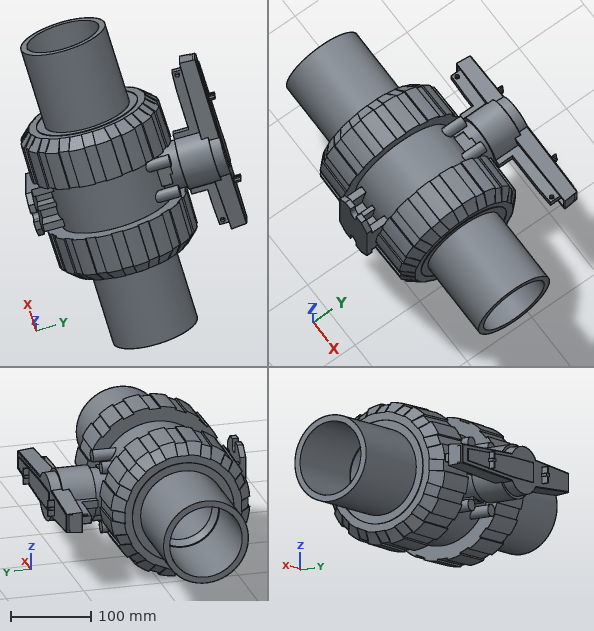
import cadquery as cq
import math


length = 405.5
pipe_radius = 55.0
pipe_bore_radius = 46.9
shoulder_radius = 45.7
neck_down_length = 10.0
bore_radius = 40.0
body_radius = 72.0

nut_inner_x = 34.8
nut_bevel_x = 83.7
nut_end_x = 97.3
nut_height = 181.41
groove_count = 16
groove_width = 14.4
groove_floor_radius = 88.5
nut_face_radius = 150.9 / 2
lobe_face_radius = 76.3
lobe_radius = math.hypot(nut_height / 2, groove_width / 2)
nut_draft = 0.8
union_face_radius = 131.5 / 2
union_recess = 1.0

plate_back_y = -100.0
plate_thickness = 7.7
plate_width = 57.8
plate_height = 99.0
plate_chamfer = 12.0
plate_slot_width = 11.8
plate_slot_depth = 15.4
leg_width = 9.7
leg_height = 57.4
centre_rib_width = 6.2
centre_rib_height = 43.8
web_thickness = 8.0

neck_radius = 60.5 / 2
post_diameter = 15.0
post_x = 21.0
post_z = 39.5
post_top_y = 85.5
pad_half_width = 12.7
pad_depth = 61.2
pad_low_y = 79.5
pad_high_y = 82.8

hub_radius = 34.5
hub_bottom_y = 95.2
hub_top_y = 137.5
cap_top_radius = 60.5 / 2
cap_base_radius = 31.2
cap_top_y = 151.2

arm_left_x = -97.2
arm_right_x = 132.0
arm_root_x = 25.0
arm_top_y = 151.2
arm_end_depth = 20.7
arm_root_depth = 22.5
arm_end_half_width = 13.6
arm_root_half_width = 19.0
arm_draft_angle = 4.0
arm_edge_chamfer = 1.0
channel_width = 21.0
end_wall = 2.5
arm_roof = 4.0

panel_left_x = -18.0
panel_right_x = 120.0
panel_top_y = 152.6
panel_margin = 6.0

rib_thickness = 10.0
rib_left_x = -90.2
rib_right_x = 120.0
rib_end_y = 117.2
rib_root_y = 115.9
rib_root_left_x = -60.0
rib_root_right_x = 95.0
stop_width = 83.0
rib_hole_diameter = 5.5
rib_hole_inset = 5.2
rib_hole_y = 122.7

total_depth = 259.3
clip_top_y = plate_back_y + total_depth
clip_positions = (-39.5, 74.0)
clip_width = 6.0
clip_height = 21.0
clip_bar_thickness = 2.2
clip_crossbar_height = 3.6


def block(x_range, y_range, z_range):
    """Axis-aligned block between the given limits."""
    sizes = [high - low for low, high in (x_range, y_range, z_range)]
    return cq.Workplane("XY").box(*sizes, centered=False).translate((x_range[0], y_range[0], z_range[0]))


def centred_block(width, y_range, height):
    """Block centred on X = 0 and Z = 0."""
    return block((-width / 2, width / 2), y_range, (-height / 2, height / 2))


def revolve_about_x(points):
    """Solid of revolution about X from (x, radius) points."""
    return cq.Workplane("XY").polyline(points).close().revolve(360, (0, 0, 0), (1, 0, 0))


def x_cylinder(radius, half_length):
    """Cylinder along X, centred on the origin."""
    return cq.Workplane("YZ").circle(radius).extrude(half_length, both=True)


def y_cylinder(radius, bottom_y, top_y, x=0.0, z=0.0):
    """Cylinder standing along +Y."""
    axis_start = cq.Vector(x, bottom_y, z)
    return cq.Workplane(cq.Solid.makeCylinder(radius, top_y - bottom_y, axis_start, cq.Vector(0, 1, 0)))


def make_nut_sleeve(radius, face_radius):
    """Plain nut ring on the +X side, with draft and a bevelled end."""
    return revolve_about_x([
        (nut_inner_x, 0),
        (nut_inner_x, radius),
        (nut_bevel_x, radius - nut_draft),
        (nut_end_x, face_radius),
        (nut_end_x, 0),
    ])


def make_nut():
    """Nut on the +X side with evenly spaced grip grooves and a recessed union face."""
    lobes = make_nut_sleeve(lobe_radius, lobe_face_radius)
    groove = block(
        (nut_inner_x, nut_end_x),
        (-groove_width / 2, groove_width / 2),
        (body_radius, nut_height),
    )
    for i in range(groove_count):
        lobes = lobes.cut(groove.rotate((0, 0, 0), (1, 0, 0), i * 360 / groove_count))
    nut = lobes.union(make_nut_sleeve(groove_floor_radius, nut_face_radius))
    recess = revolve_about_x([
        (nut_end_x - union_recess, 0),
        (nut_end_x - union_recess, union_face_radius),
        (nut_end_x, union_face_radius),
        (nut_end_x, 0),
    ])
    return nut.cut(recess)


def make_bore():
    """Through bore that necks down from each pipe to the ball."""
    pipe_bore = x_cylinder(pipe_bore_radius, length / 2)
    union_web = x_cylinder(pipe_bore_radius, nut_end_x)
    cone_end_x = nut_end_x - neck_down_length
    union_bore = revolve_about_x([
        (-nut_end_x, 0),
        (-nut_end_x, shoulder_radius),
        (-cone_end_x, bore_radius),
        (cone_end_x, bore_radius),
        (nut_end_x, shoulder_radius),
        (nut_end_x, 0),
    ])
    return pipe_bore.cut(union_web).union(union_bore)


def make_mount():
    """Slotted mounting plate with the legs and ribs that carry it."""
    plate_front_y = plate_back_y + plate_thickness
    plate = centred_block(plate_width, (plate_back_y, plate_front_y), plate_height)
    plate = plate.edges("|Y").chamfer(plate_chamfer)
    slot_radius = plate_slot_width / 2
    slot_centre_z = plate_height / 2 - plate_slot_depth + slot_radius
    for side in (-1, 1):
        z_limits = sorted((side * slot_centre_z, side * plate_height))
        plate = plate.cut(block((-slot_radius, slot_radius), (plate_back_y, plate_front_y), z_limits))
        plate = plate.cut(y_cylinder(slot_radius, plate_back_y, plate_front_y, z=side * slot_centre_z))

    support_range = (plate_front_y, -pipe_radius)
    mount = plate.union(centred_block(plate_width, support_range, web_thickness))
    mount = mount.union(centred_block(centre_rib_width, support_range, centre_rib_height))
    for side in (-1, 1):
        leg = centred_block(leg_width, support_range, leg_height)
        mount = mount.union(leg.translate((side * (plate_width - leg_width) / 2, 0, 0)))
    return mount


def make_stem():
    """Stem neck with its stepped pads and the four posts standing beside it."""
    stem = y_cylinder(neck_radius, pipe_radius, hub_bottom_y)
    for x in (-post_x, post_x):
        for z in (-post_z, post_z):
            stem = stem.union(y_cylinder(post_diameter / 2, bore_radius, post_top_y, x, z))
    pad_height = (-pad_depth / 2, pad_depth / 2)
    stem = stem.union(block((-pad_half_width, 0), (pipe_radius, pad_low_y), pad_height))
    return stem.union(block((0, pad_half_width), (pipe_radius, pad_high_y), pad_height))


def make_hub():
    """Lever hub with its slightly conical cap."""
    cap = cq.Solid.makeCone(
        cap_base_radius,
        cap_top_radius,
        cap_top_y - hub_top_y,
        cq.Vector(0, hub_top_y, 0),
        cq.Vector(0, 1, 0),
    )
    return y_cylinder(hub_radius, hub_bottom_y, hub_top_y).union(cq.Workplane(cap))


def arm_prism(inset, bottom_y, top_y):
    """Drafted prism with the lever's tapering plan, moved inward by inset."""
    left_x = arm_left_x + inset
    right_x = arm_right_x - inset
    end_half = arm_end_half_width - inset
    root_half = arm_root_half_width - inset
    plan = [
        (left_x, end_half),
        (-arm_root_x, root_half),
        (arm_root_x, root_half),
        (right_x, end_half),
        (right_x, -end_half),
        (arm_root_x, -root_half),
        (-arm_root_x, -root_half),
        (left_x, -end_half),
    ]
    base = cq.Workplane("XZ", origin=(0, bottom_y, 0)).polyline(plan).close()
    return base.extrude(bottom_y - top_y, taper=arm_draft_angle)


def make_arms():
    """Hollow lever arms, deeper at the hub than at the tips."""
    root_y = arm_top_y - arm_root_depth
    end_y = arm_top_y - arm_end_depth
    arms = arm_prism(0, root_y, arm_top_y)
    arms = arms.faces(">Y").edges().chamfer(arm_edge_chamfer)
    side_outline = [
        (arm_left_x, arm_top_y),
        (arm_left_x, end_y),
        (-arm_root_x, root_y),
        (arm_root_x, root_y),
        (arm_right_x, end_y),
        (arm_right_x, arm_top_y),
    ]
    envelope = cq.Workplane("XY").polyline(side_outline).close().extrude(arm_root_half_width, both=True)
    channel = block(
        (arm_left_x + end_wall, arm_right_x - end_wall),
        (root_y, arm_top_y - arm_roof),
        (-channel_width / 2, channel_width / 2),
    )
    return arms.intersect(envelope).cut(channel)


def make_panel():
    """Raised panel on top of the longer arm, following the arm's plan."""
    panel = arm_prism(panel_margin, arm_top_y - arm_roof, panel_top_y)
    limits = block(
        (panel_left_x, panel_right_x),
        (arm_top_y - arm_roof, panel_top_y),
        (-arm_root_half_width, arm_root_half_width),
    )
    return panel.intersect(limits)


def make_lever_rib():
    """Rib along the lever with a hole near each tip and a deeper stop block at the hub."""
    roof_y = arm_top_y - arm_roof
    outline = [
        (rib_left_x, roof_y),
        (rib_left_x, rib_end_y),
        (rib_root_left_x, rib_root_y),
        (rib_root_right_x, rib_root_y),
        (rib_right_x, rib_end_y),
        (rib_right_x, roof_y),
    ]
    rib = cq.Workplane("XY").polyline(outline).close().extrude(rib_thickness / 2, both=True)
    holes = (
        cq.Workplane("XY")
        .pushPoints([
            (rib_left_x + rib_hole_inset, rib_hole_y),
            (rib_right_x - rib_hole_inset, rib_hole_y),
        ])
        .circle(rib_hole_diameter / 2)
        .extrude(rib_thickness, both=True)
    )
    stop = centred_block(stop_width, (hub_bottom_y, roof_y), rib_thickness)
    return rib.cut(holes).union(stop)


def make_clips():
    """Small cross-shaped clips on the back of the lever."""
    y_range = (arm_top_y - arm_roof, clip_top_y)
    clip = centred_block(clip_bar_thickness, y_range, clip_height)
    clip = clip.union(centred_block(clip_width, y_range, clip_crossbar_height))
    left, right = [clip.translate((x, 0, 0)) for x in clip_positions]
    return left.union(right)


def make_lever():
    """Arms, panel, rib, hub and clips joined."""
    return make_arms().union(make_panel()).union(make_lever_rib()).union(make_hub()).union(make_clips())


nut = make_nut()
valve = x_cylinder(pipe_radius, length / 2).union(x_cylinder(body_radius, nut_inner_x))
valve = valve.union(nut).union(nut.mirror("YZ"))
valve = valve.union(make_mount()).union(make_stem())
valve = valve.cut(make_bore())
result = valve.union(make_lever())